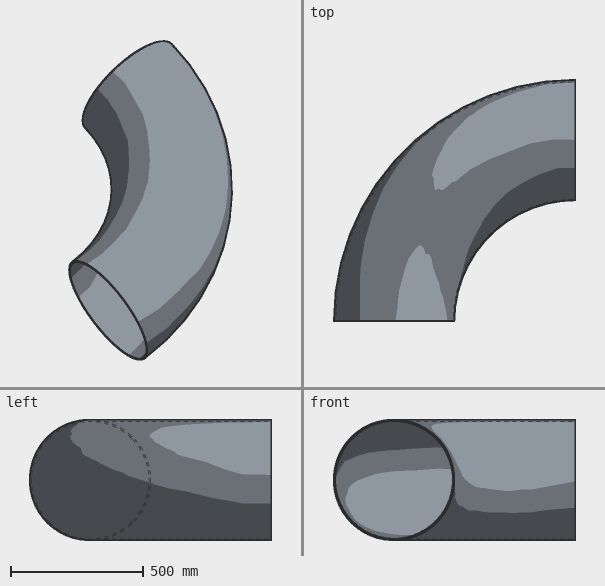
import cadquery as cq

outer_diameter = 457.0
wall_thickness = 6.0
bend_radius = 686.0
bend_angle = 90.0

outer_radius = outer_diameter / 2
inner_radius = outer_radius - wall_thickness

pipe_section = (
    cq.Workplane("XZ")
    .center(-bend_radius, 0)
    .circle(outer_radius)
    .circle(inner_radius)
)

axis_start = (bend_radius, 0)
axis_end = (bend_radius, -1)
result = pipe_section.revolve(bend_angle, axis_start, axis_end)